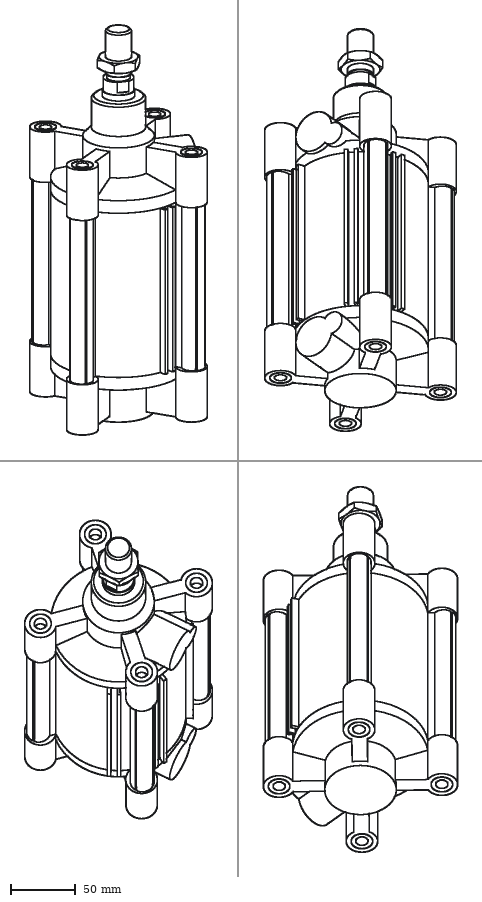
import cadquery as cq
import math


TOTAL_HEIGHT = 313.0
OUTER_WIDTH = 113.0

POST_DIAMETER = 24.5
POST_OFFSET = (OUTER_WIDTH - POST_DIAMETER) / 2
POST_HEIGHT = 41.3
REAR_SPIGOT_HEIGHT = 4.7
CAP_DIAMETER = 104.5
CAP_BAND_HEIGHT = 10.3
CAP_CONE_HEIGHT = 9.5
HUB_DIAMETER = 55.0
RIB_WIDTH = 12.0
BOLT_RECESS_DIAMETER = 16.5
BOLT_RECESS_DEPTH = 0.3
BOLT_SOCKET_DIAMETER = 9.5
BOLT_SOCKET_DEPTH = 9.5

PORT_DIAMETER = 33.2
PORT_X = 5.0
PORT_HEIGHT = 22.5
SCREW_BOSS_DIAMETER = 18.0
SCREW_BOSS_X = -12.2
SCREW_BOSS_HEIGHT = 15.5

NOSE_DIAMETER = 42.0
NOSE_TOP = 258.2
NOSE_BASE = 232.2
NOSE_CHAMFER = 2.0
NOSE_FLARE_HEIGHT = 7.0

BARREL_BOTTOM = POST_HEIGHT + REAR_SPIGOT_HEIGHT
BARREL_TOP = 181.0
BARREL_LENGTH = BARREL_TOP - BARREL_BOTTOM
COLUMN_DIAMETER = 18.5
COLUMN_OFFSET = 45.5
COLUMN_SLIT_WIDTH = 1.3
COLUMN_SLIT_DEPTH = 3.0
COLUMN_SLIT_SHIFT = 0.5
COLUMN_SLIT_OFFSET = COLUMN_OFFSET - COLUMN_SLIT_SHIFT

SIDE_SLOT_ANGLE = 25.0
BACK_SLOT_ANGLE = 63.0
RAIL_TIP_RADIUS = 57.5
RAIL_GAP = 5.0
RAIL_HEAD_WIDTH = 2.8
RAIL_HEAD_HEIGHT = 2.0
RAIL_ROOT_DEPTH = 2.8
RAIL_NECK_WIDTH = 2.0
RAIL_PLAIN_WIDTH = 2.8

ROD_DIAMETER = 25.0
COLLAR_TOP = 263.0
FLATS_DIAMETER = 23.8
FLATS_BOTTOM = 264.8
FLATS_TOP = 273.2
FLATS_WIDTH = 22.0
NECK_DIAMETER = 18.5
THREAD_DIAMETER = 20.0
THREAD_BOTTOM = 276.7
THREAD_CHAMFER = 1.5

NUT_WIDTH = 30.0
NUT_BOTTOM = 281.7
NUT_HEIGHT = 8.5
HEXAGON_HALF_SECTOR = 30
NUT_CORNER_RADIUS = NUT_WIDTH / 2 / math.cos(math.radians(HEXAGON_HALF_SECTOR))
NUT_CHAMFER_RADIUS = 15.0
NUT_CHAMFER_ANGLE = 30

CORNERS = [(sx, sy) for sx in (-1, 1) for sy in (-1, 1)]


def cylinder(diameter, bottom, top, x=0, y=0):
    """Upright cylinder between two heights."""
    return cq.Workplane("XY", origin=(x, y, bottom)).circle(diameter / 2).extrude(top - bottom)


def diagonal_rib(sx, sy, reach, width, bottom, top):
    """Upright plate from the axis out along one diagonal."""
    rib = cq.Workplane("XY", origin=(0, 0, bottom)).box(reach, width, top - bottom, centered=(False, True, False))
    return rib.rotate((0, 0, 0), (0, 0, 1), math.degrees(math.atan2(sy, sx)))


def back_boss(diameter, x, z):
    """Horizontal cylinder from the cap axis to the back face."""
    plane = cq.Workplane("XZ", origin=(x, 0, z))
    return plane.circle(diameter / 2).extrude(-OUTER_WIDTH / 2)


def make_cap(hub_height):
    """End cap standing on the joint plane Z = 0, with its hub upwards and both bosses towards +Y."""
    cone_top = CAP_BAND_HEIGHT + CAP_CONE_HEIGHT
    half_profile = [
        (0, 0),
        (CAP_DIAMETER / 2, 0),
        (CAP_DIAMETER / 2, CAP_BAND_HEIGHT),
        (HUB_DIAMETER / 2, cone_top),
        (HUB_DIAMETER / 2, hub_height),
        (0, hub_height),
    ]
    cap = cq.Workplane("XZ").polyline(half_profile).close().revolve(360, (0, 0, 0), (0, 1, 0))
    for sx, sy in CORNERS:
        cap = cap.union(diagonal_rib(sx, sy, POST_OFFSET * math.sqrt(2), RIB_WIDTH, 0, POST_HEIGHT))
        cap = cap.union(cylinder(POST_DIAMETER, 0, POST_HEIGHT, sx * POST_OFFSET, sy * POST_OFFSET))
    cap = cap.union(back_boss(PORT_DIAMETER, PORT_X, PORT_HEIGHT))
    cap = cap.union(back_boss(SCREW_BOSS_DIAMETER, SCREW_BOSS_X, SCREW_BOSS_HEIGHT))
    for sx, sy in CORNERS:
        x = sx * POST_OFFSET
        y = sy * POST_OFFSET
        cap = cap.cut(cylinder(BOLT_RECESS_DIAMETER, POST_HEIGHT - BOLT_RECESS_DEPTH, POST_HEIGHT, x, y))
        cap = cap.cut(cylinder(BOLT_SOCKET_DIAMETER, POST_HEIGHT - BOLT_SOCKET_DEPTH, POST_HEIGHT, x, y))
    return cap


def make_rear_cap():
    """Cap below the barrel, the mirror image of the front one."""
    return make_cap(BARREL_BOTTOM).mirror("XY").translate((0, 0, BARREL_BOTTOM))


def make_front_cap():
    """Cap above the barrel, with a nose that guides the piston rod."""
    flare_bottom = NOSE_BASE - NOSE_FLARE_HEIGHT
    cap = make_cap(flare_bottom - BARREL_TOP).translate((0, 0, BARREL_TOP))
    flare = (
        cq.Workplane("XY", origin=(0, 0, flare_bottom))
        .circle(HUB_DIAMETER / 2)
        .workplane(offset=NOSE_FLARE_HEIGHT)
        .circle(NOSE_DIAMETER / 2)
        .loft(ruled=True)
    )
    nose = cylinder(NOSE_DIAMETER, BARREL_TOP, NOSE_TOP).faces(">Z").chamfer(NOSE_CHAMFER)
    return cap.union(flare).union(nose).cut(cylinder(ROD_DIAMETER, BARREL_TOP, NOSE_TOP))


def rail_plate(side, width, inner_radius):
    """Upright plate on one side (-1 or 1) of a sensor slot that faces +X."""
    near = side * RAIL_GAP / 2
    far = near + side * width
    plate = cq.Workplane("XY", origin=(0, 0, BARREL_BOTTOM))
    plate = plate.moveTo(inner_radius, near).lineTo(RAIL_TIP_RADIUS, near)
    return plate.lineTo(RAIL_TIP_RADIUS, far).lineTo(inner_radius, far).close().extrude(BARREL_LENGTH)


def rail_pair(corner_side):
    """Two rails beside a sensor slot that faces +X; the one on the corner side has a hooked head."""
    root_radius = CAP_DIAMETER / 2 - RAIL_ROOT_DEPTH
    head = rail_plate(corner_side, RAIL_HEAD_WIDTH, RAIL_TIP_RADIUS - RAIL_HEAD_HEIGHT)
    neck = rail_plate(corner_side, RAIL_NECK_WIDTH, root_radius)
    plain_rail = rail_plate(-corner_side, RAIL_PLAIN_WIDTH, root_radius)
    return [neck, head, plain_rail]


def column_slit(sx, sy, along_x):
    """Slit cut into a corner column from its outer X side or its outer Y side."""
    slit_middle = COLUMN_OFFSET + COLUMN_DIAMETER / 2 - COLUMN_SLIT_DEPTH / 2
    if along_x:
        center = (sx * slit_middle, sy * COLUMN_SLIT_OFFSET)
        size = (COLUMN_SLIT_DEPTH, COLUMN_SLIT_WIDTH)
    else:
        center = (sx * COLUMN_SLIT_OFFSET, sy * slit_middle)
        size = (COLUMN_SLIT_WIDTH, COLUMN_SLIT_DEPTH)
    return cq.Workplane("XY", origin=(*center, BARREL_BOTTOM)).rect(*size).extrude(BARREL_LENGTH)


def make_barrel():
    """Barrel with a slit column on each diagonal and sensor rails beside the two +Y columns."""
    barrel = cylinder(CAP_DIAMETER, BARREL_BOTTOM, BARREL_TOP)
    for sx, sy in CORNERS:
        x = sx * COLUMN_OFFSET
        y = sy * COLUMN_OFFSET
        reach = COLUMN_OFFSET * math.sqrt(2)
        barrel = barrel.union(diagonal_rib(sx, sy, reach, RIB_WIDTH, BARREL_BOTTOM, BARREL_TOP))
        barrel = barrel.union(cylinder(COLUMN_DIAMETER, BARREL_BOTTOM, BARREL_TOP, x, y))
        for along_x in (True, False):
            barrel = barrel.cut(column_slit(sx, sy, along_x))
    slots = [
        (SIDE_SLOT_ANGLE, 1),
        (BACK_SLOT_ANGLE, -1),
        (180 - BACK_SLOT_ANGLE, 1),
        (180 - SIDE_SLOT_ANGLE, -1),
    ]
    for angle, corner_side in slots:
        for piece in rail_pair(corner_side):
            barrel = barrel.union(piece.rotate((0, 0, 0), (0, 0, 1), angle))
    return barrel


def make_piston_rod():
    """Piston rod with a collar, two wrench flats, an undercut and a plain thread shank."""
    rod = cylinder(ROD_DIAMETER, BARREL_TOP, COLLAR_TOP)
    flats_section = cylinder(FLATS_DIAMETER, COLLAR_TOP, FLATS_TOP)
    flats_height = FLATS_TOP - FLATS_BOTTOM
    for side in (-1, 1):
        x = side * (FLATS_WIDTH + ROD_DIAMETER) / 2
        waste = cq.Workplane("XY", origin=(x, 0, FLATS_BOTTOM))
        flats_section = flats_section.cut(
            waste.box(ROD_DIAMETER, ROD_DIAMETER, flats_height, centered=(True, True, False))
        )
    neck = cylinder(NECK_DIAMETER, FLATS_TOP, THREAD_BOTTOM)
    thread = cylinder(THREAD_DIAMETER, THREAD_BOTTOM, TOTAL_HEIGHT).faces(">Z").chamfer(THREAD_CHAMFER)
    return rod.union(flats_section).union(neck).union(thread)


def make_nut():
    """Hexagon nut with two flats facing -X and +X and its corners chamfered on both ends."""
    hexagon = (
        cq.Workplane("XY", origin=(0, 0, NUT_BOTTOM))
        .polygon(6, 2 * NUT_CORNER_RADIUS)
        .extrude(NUT_HEIGHT)
        .rotate((0, 0, 0), (0, 0, 1), HEXAGON_HALF_SECTOR)
    )
    corner_drop = (NUT_CORNER_RADIUS - NUT_CHAMFER_RADIUS) * math.tan(math.radians(NUT_CHAMFER_ANGLE))
    nut_top = NUT_BOTTOM + NUT_HEIGHT
    half_profile = [
        (THREAD_DIAMETER / 2, NUT_BOTTOM),
        (NUT_CHAMFER_RADIUS, NUT_BOTTOM),
        (NUT_CORNER_RADIUS, NUT_BOTTOM + corner_drop),
        (NUT_CORNER_RADIUS, nut_top - corner_drop),
        (NUT_CHAMFER_RADIUS, nut_top),
        (THREAD_DIAMETER / 2, nut_top),
    ]
    turned = cq.Workplane("XZ").polyline(half_profile).close().revolve(360, (0, 0, 0), (0, 1, 0))
    return hexagon.intersect(turned)


rear_cap = make_rear_cap()
barrel = make_barrel()
front_cap = make_front_cap()
piston_rod = make_piston_rod()
nut = make_nut()

result = cq.Compound.makeCompound(
    [rear_cap.val(), barrel.val(), front_cap.val(), piston_rod.val(), nut.val()]
)